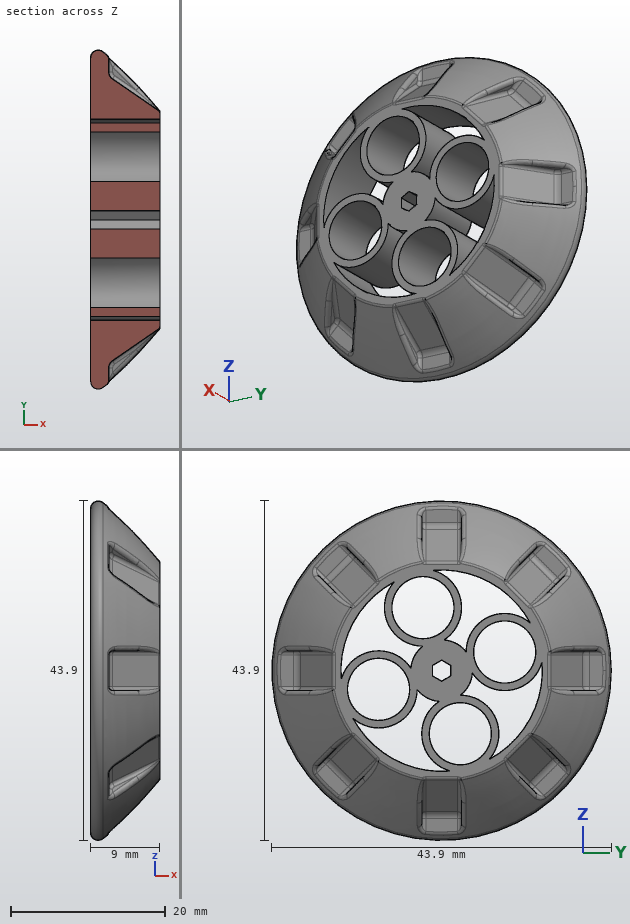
import cadquery as cq
import math

width = 9.0
outer_diameter = 43.88
rim_round = 1.0
flank_start_angle = 39.0
flank_end_radius = 14.25
narrow_edge_round = 0.5

opening_diameter = 26.0
hub_diameter = 8.0
hex_across_flats = 2.33
tube_outer_diameter = 10.0
tube_bore_diameter = 8.0
tube_pitch_radius = 8.5
tube_count = 4
tube_start_angle = 16.5

pocket_count = 8
pocket_width = 5.1
pocket_start = 2.37
pocket_floor_radius = 18.55
pocket_floor_angle = 34.5
pocket_end_round = 1.1
pocket_side_round = 0.5
pocket_rim_round = 0.55

cutter_clearance = 2.0
tolerance = 0.01


def rim_point(angle):
    """Point (x, radius) on the rounded rim; angle in degrees, 0 along +X and 90 outwards."""
    turn = math.radians(angle)
    rim_centre_radius = outer_diameter / 2 - rim_round
    return (
        rim_round + rim_round * math.cos(turn),
        rim_centre_radius + rim_round * math.sin(turn),
    )


def make_body():
    """Solid of revolution: rounded rim running tangentially into a slightly bulged flank."""
    rim_end_angle = 90 - flank_start_angle
    rim_mid_angle = (180 + rim_end_angle) / 2
    profile = (
        cq.Workplane("XY")
        .lineTo(*rim_point(180))
        .threePointArc(rim_point(rim_mid_angle), rim_point(rim_end_angle))
        .tangentArcPoint((width, flank_end_radius), relative=False)
        .lineTo(width, 0)
        .close()
    )
    body = profile.revolve(360, (0, 0, 0), (1, 0, 0))
    return body.faces(">X").edges().fillet(narrow_edge_round)


def make_pocket_cutter():
    """Cutter for one pocket on the +Z side: sloping floor, rounded corners."""
    top_radius = outer_diameter / 2 + cutter_clearance
    end_x = width + cutter_clearance
    drop = (end_x - pocket_start) * math.tan(math.radians(pocket_floor_angle))
    cutter = (
        cq.Workplane("XZ")
        .moveTo(pocket_start, top_radius)
        .lineTo(pocket_start, pocket_floor_radius)
        .lineTo(end_x, pocket_floor_radius - drop)
        .lineTo(end_x, top_radius)
        .close()
        .extrude(pocket_width / 2, both=True)
    )
    cutter = cutter.faces("<X").edges("<Z").fillet(pocket_end_round)
    side_faces = cutter.faces("<Y or >Y")
    return side_faces.edges("not (>X or >Z)").fillet(pocket_side_round)


def cut_pockets(body):
    """Cut the ring of pockets and round their rims on the flank."""
    cutter = make_pocket_cutter()
    for index in range(pocket_count):
        turn = index * 360 / pocket_count
        body = body.cut(cutter.rotate((0, 0, 0), (1, 0, 0), turn))
    return round_pocket_rims(body)


def round_pocket_rims(body):
    """Fillet the flank edges that start within the axial span of the pockets."""
    faces_past_rim = [face for face in body.faces().vals() if face.BoundingBox().xmin > rim_round]
    flank = max(faces_past_rim, key=lambda face: face.Area())
    rim_edges = [
        edge
        for edge in flank.Edges()
        if pocket_start - tolerance < edge.BoundingBox().xmin < width - narrow_edge_round
    ]
    return body.newObject(rim_edges).fillet(pocket_rim_round)


def through_cylinder(diameter):
    """Cylinder on the wheel axis, as long as the wheel is wide."""
    return cq.Workplane("YZ").circle(diameter / 2).extrude(width)


def tube_cylinders(diameter):
    """Cylinders at the tube positions; the first leans from +Z towards -Y."""
    first_angle = 90 + tube_start_angle
    return (
        cq.Workplane("YZ")
        .polarArray(tube_pitch_radius, first_angle, 360, tube_count)
        .circle(diameter / 2)
        .extrude(width)
    )


def make_hex_hole():
    """Hexagonal hole on the axis with corners pointing along Z."""
    across_corners = hex_across_flats / math.cos(math.radians(30))
    return cq.Workplane("YZ").transformed(rotate=(0, 0, 90)).polygon(6, across_corners).extrude(width)


def cut_centre(body):
    """Open the middle of the wheel, leaving a hub carried by the tubes."""
    opening = through_cylinder(opening_diameter)
    opening = opening.cut(through_cylinder(hub_diameter)).cut(tube_cylinders(tube_outer_diameter))
    return body.cut(opening).cut(tube_cylinders(tube_bore_diameter)).cut(make_hex_hole())


result = cut_centre(cut_pockets(make_body()))